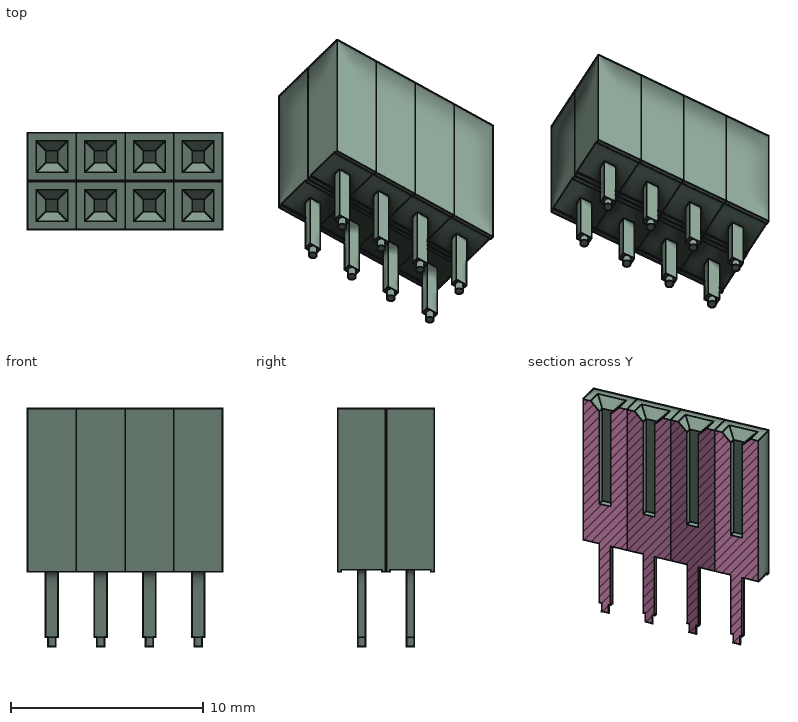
import cadquery as cq

columns = 4
rows = 2
pitch = 2.54

block_length = pitch
block_depth = 2.5
block_height = 8.5

ledge_width = 0.2
ledge_height = 0.1

funnel_top = 1.64
hole_side = 0.64
funnel_depth = (funnel_top - hole_side) / 2
hole_depth = 6.0

tail_width = 0.67
tail_thickness = 0.42
tail_reach = 3.4
tip_diameter = tail_thickness
tip_length = 0.5


def make_block():
    """Plain housing block standing on z = 0, with a shallow channel along X underneath."""
    block = cq.Workplane("XY").box(block_length, block_depth, block_height, centered=(True, True, False))
    channel_width = block_depth - 2 * ledge_width
    channel = cq.Workplane("XY").box(block_length, channel_width, ledge_height, centered=(True, True, False))
    return block.cut(channel)


def make_socket():
    """Funnel and square hole removed from the top of a block."""
    top = cq.Workplane("XY").workplane(offset=block_height)
    funnel = top.rect(funnel_top, funnel_top).workplane(offset=-funnel_depth).rect(hole_side, hole_side).loft()
    hole = top.rect(hole_side, hole_side).extrude(-hole_depth)
    return funnel.union(hole)


def make_tail():
    """Flat tail with a round tip, rising to the roof of the channel."""
    tail_length = tail_reach + ledge_height
    tail = cq.Workplane("XY").workplane(offset=-tail_reach).rect(tail_width, tail_thickness).extrude(tail_length)
    tip = cq.Workplane("XY").workplane(offset=-tail_reach).circle(tip_diameter / 2).extrude(-tip_length)
    return tail.union(tip)


def make_contact():
    """One socket contact: the housing block and its tail as a single body."""
    return make_block().cut(make_socket()).union(make_tail())


contact = make_contact()
contacts = []
for column in range(columns):
    for row in range(rows):
        x = (column - (columns - 1) / 2) * pitch
        y = (row - (rows - 1) / 2) * pitch
        contacts.append(contact.translate((x, y, 0)).val())

result = cq.Compound.makeCompound(contacts)